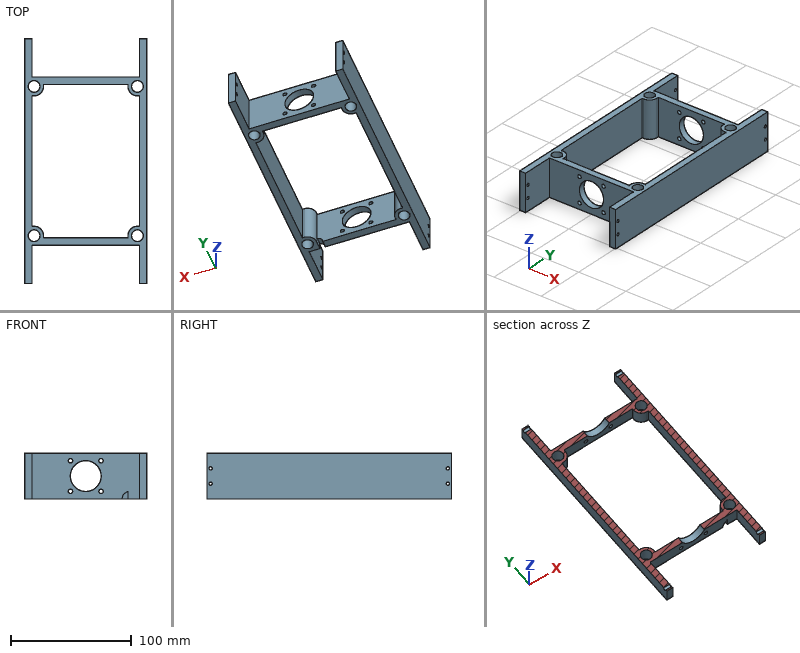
import cadquery as cq

WIDTH = 101.6
LENGTH = 203.2
HEIGHT = 38.1
WALL = 6.35

END_SETBACK = 31.75
WALL_OUTER_Y = LENGTH / 2 - END_SETBACK
WALL_CENTER_Y = WALL_OUTER_Y - WALL / 2
INNER_WIDTH = WIDTH - 2 * WALL

BOSS_DIAMETER = 15.875
BOSS_RADIUS = BOSS_DIAMETER / 2
BOSS_HOLE_DIAMETER = 9.525
BOSS_X = WIDTH / 2 - BOSS_RADIUS
BOSS_Y = WALL_OUTER_Y - BOSS_RADIUS

MOTOR_BORE_DIAMETER = 25.4
MOTOR_SCREW_DIAMETER = 3.45
MOTOR_SCREW_SPACING = 25.4

RAIL_HOLE_DIAMETER = 2.54
RAIL_HOLE_EDGE = 3.175
RAIL_HOLE_SPACING = 12.7

NOTCH_RADIUS = 6.35
NOTCH_X = 36.5125
NOTCH_FLAT_X = BOSS_X - BOSS_RADIUS


def make_rails():
    return (
        cq.Workplane("XY")
        .rarray(WIDTH - WALL, 1, 2, 1)
        .rect(WALL, LENGTH)
        .extrude(HEIGHT)
    )


def make_cross_walls():
    return (
        cq.Workplane("XY")
        .rarray(1, 2 * WALL_CENTER_Y, 1, 2)
        .rect(INNER_WIDTH, WALL)
        .extrude(HEIGHT)
    )


def boss_centers():
    return cq.Workplane("XY").rarray(2 * BOSS_X, 2 * BOSS_Y, 2, 2)


def make_bosses():
    """Round corner posts, squared off where they run into the walls."""
    posts = boss_centers().circle(BOSS_RADIUS).extrude(HEIGHT)
    for side_x in (-1, 1):
        for side_y in (-1, 1):
            outer_x = side_x * (BOSS_X + BOSS_RADIUS / 2)
            outer_y = side_y * (BOSS_Y + BOSS_RADIUS / 2)
            rail_side = (
                cq.Workplane("XY")
                .center(outer_x, side_y * BOSS_Y)
                .rect(BOSS_RADIUS, BOSS_DIAMETER)
                .extrude(HEIGHT)
            )
            wall_side = (
                cq.Workplane("XY")
                .center(side_x * BOSS_X, outer_y)
                .rect(BOSS_DIAMETER, BOSS_RADIUS)
                .extrude(HEIGHT)
            )
            posts = posts.union(rail_side).union(wall_side)
    return posts


def make_boss_holes():
    return boss_centers().circle(BOSS_HOLE_DIAMETER / 2).extrude(HEIGHT)


def make_motor_holes():
    """Motor bore and its four screw holes, running through both cross walls."""
    plane = cq.Workplane("XZ", origin=(0, 0, HEIGHT / 2))
    bore = plane.circle(MOTOR_BORE_DIAMETER / 2).extrude(LENGTH / 2, both=True)
    screws = (
        plane.rarray(MOTOR_SCREW_SPACING, MOTOR_SCREW_SPACING, 2, 2)
        .circle(MOTOR_SCREW_DIAMETER / 2)
        .extrude(LENGTH / 2, both=True)
    )
    return bore.union(screws)


def make_rail_holes():
    return (
        cq.Workplane("YZ", origin=(0, 0, HEIGHT / 2))
        .rarray(LENGTH - 2 * RAIL_HOLE_EDGE, RAIL_HOLE_SPACING, 2, 2)
        .circle(RAIL_HOLE_DIAMETER / 2)
        .extrude(WIDTH / 2, both=True)
    )


def make_notch():
    """Part of a cylinder along Y, cut off by a flat face in line with the boss."""
    cylinder = (
        cq.Workplane("XZ", origin=(NOTCH_X, -WALL_CENTER_Y, 0))
        .circle(NOTCH_RADIUS)
        .extrude(WALL / 2, both=True)
    )
    kept_side = (
        cq.Workplane("XY", origin=(NOTCH_FLAT_X - NOTCH_RADIUS, -WALL_CENTER_Y, 0))
        .box(2 * NOTCH_RADIUS, WALL, 2 * NOTCH_RADIUS)
    )
    return cylinder.intersect(kept_side)


frame = make_rails().union(make_cross_walls()).union(make_bosses())
result = (
    frame.cut(make_boss_holes())
    .cut(make_motor_holes())
    .cut(make_rail_holes())
    .cut(make_notch())
    .clean()
)